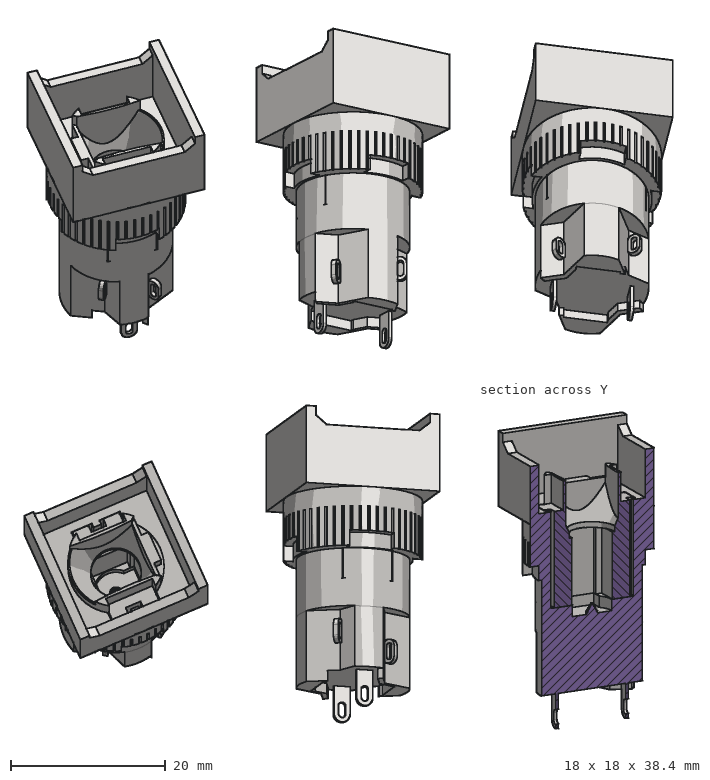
import cadquery as cq
import math

TOTAL_HEIGHT = 38.4
BLOCK_BOTTOM = 3.38
BLOCK_RECESS_TOP = 4.72
BLOCK_TOP = 12.75
BORE_BOTTOM = 16.45
RING_BOTTOM = 20.4
RING_NOTCH_TOP = 22.4
RING_GROOVE_TOP = 25.6
HEAD_BOTTOM = 28.2

HEAD_WIDTH = 18.0
HEAD_WALL = 1.3
HEAD_FLOOR = HEAD_BOTTOM + HEAD_WALL
SIDE_WALL_TOP = 36.05
SIDE_RAMP_TOP = 37.2
SIDE_RAMP_LENGTH = 1.42

RING_RADIUS = HEAD_WIDTH / 2
RING_GROOVE_COUNT = 50
RING_GROOVE_WIDTH = 0.3
RING_GROOVE_DEPTH = 0.2
RING_NOTCH_WIDTH = 5.95
RING_NOTCH_RADIUS = 7.75

BARREL_RADIUS = 14.7 / 2
BORE_RADIUS = 6.22
POCKET_LENGTH = 13.05
POCKET_WIDTH = 6.87
GUIDE_RIB_HEIGHT = 0.58
GUIDE_RIB_WIDTH = 1.08
SOCKET_RADIUS = 5.65 / 2
SOCKET_DEPTH = 1.55
CONTACT_RADIUS = 0.8
CONTACT_STEPS = 6
CONTACT_STEP_WIDTH = 0.125
CONTACT_STEP_HEIGHT = 0.23

KEYWAY_WIDTH = 4.07
KEYWAY_END = 3.45

NOTCH_CORNER = (4.25, 3.05)
NOTCH_Y_ARM_EDGE = (2.25, 7.03)
NOTCH_X_ARM_EDGE = (7.1, 1.92)
RECESS_CORNER = (3.8, 2.4)
RECESS_Y_ARM_EDGE = (2.88, 4.25)
RECESS_END = 4.8
RECESS_MOUTH = (6.5, 1.4)
WINDOW_END_Y = 4.5

BLADE_OFFSET = 5.05
BLADE_WIDTH = 2.2
BLADE_THICKNESS = 0.45
BLADE_ROOT_DEPTH = 0.4
BLADE_SLOT_WIDTH = 0.95
BLADE_SLOT_LENGTH = 2.0
BLADE_SLOT_CENTER = 1.6
LUG_RADIUS = 6.05
LUG_WIDTH = 1.8
LUG_HEIGHT = 3.2
LUG_THICKNESS = 0.65
LUG_SLOT_RADIUS = 6.15
LUG_SLOT_WIDTH = 0.8
LUG_SLOT_HEIGHT = 2.15
LOW_LUG_CENTER = 7.45
HIGH_LUG_CENTER = 9.75

INSERT_TOP = 33.4
RIM_HEIGHT = 31.7
ARM_CLEARANCE = 0.05
ARM_LENGTH = POCKET_LENGTH - 2 * ARM_CLEARANCE
ARM_WIDTH = 6.55
ARM_NOTCH_DEPTH = 1.0
ARM_NOTCH_WIDTH = 2.1
FIN_OUTER_X = 4.22
FIN_END_X = 4.05
FIN_MIDDLE_X = 3.75
BOWL_RADIUS = 6.0
THROAT_RADIUS = 3.25
BOWL_BOTTOM = 26.3
LEDGE_HEIGHT = 25.55
LAMP_OPENING = 5.8
BACK_WALL_Y = -4.0
BACK_WALL_OUTER_Y = -4.5
BACK_WALL_END_X = 4.38
BACK_TAB_END_Y = -5.5


def box(x_min, x_max, y_min, y_max, z_min, z_max):
    """Box between two opposite corners."""
    size = (x_max - x_min, y_max - y_min, z_max - z_min)
    return cq.Workplane("XY").box(*size, centered=False).translate((x_min, y_min, z_min))


def centered_box(length, width, z_min, z_max):
    """Box centered on the axis."""
    return box(-length / 2, length / 2, -width / 2, width / 2, z_min, z_max)


def cylinder(radius, z_min, z_max):
    """Cylinder on the axis."""
    return cq.Workplane("XY").workplane(offset=z_min).circle(radius).extrude(z_max - z_min)


def prism(points, z_min, z_max):
    """Upright prism on a polygon."""
    return cq.Workplane("XY").workplane(offset=z_min).polyline(points).close().extrude(z_max - z_min)


def obround_plate(width, height, thickness):
    """Plate in the XZ plane with rounded ends, centered on the origin."""
    return cq.Workplane("XZ").slot2D(height, width, 90).extrude(thickness / 2, both=True)


def keyway(z_min, z_max):
    """Straight channel from the axis toward -Y."""
    return box(-KEYWAY_WIDTH / 2, KEYWAY_WIDTH / 2, -KEYWAY_END, 0, z_min, z_max)




def head():
    """Square cup whose X walls are lowered between two ramps."""
    half = HEAD_WIDTH / 2
    inside = HEAD_WIDTH - 2 * HEAD_WALL
    ramp_outer = inside / 2
    ramp_inner = ramp_outer - SIDE_RAMP_LENGTH
    cup = centered_box(HEAD_WIDTH, HEAD_WIDTH, HEAD_BOTTOM, TOTAL_HEIGHT)
    cup = cup.cut(centered_box(inside, inside, HEAD_FLOOR, TOTAL_HEIGHT))
    wall_gap = (
        cq.Workplane("YZ")
        .polyline(
            [
                (-ramp_outer, TOTAL_HEIGHT),
                (-ramp_outer, SIDE_RAMP_TOP),
                (-ramp_inner, SIDE_WALL_TOP),
                (ramp_inner, SIDE_WALL_TOP),
                (ramp_outer, SIDE_RAMP_TOP),
                (ramp_outer, TOTAL_HEIGHT),
            ]
        )
        .close()
        .extrude(half, both=True)
    )
    return cup.cut(wall_gap)


def knurled_ring():
    """Ring with V-shaped grooves around it and a wide notch on each of its four sides."""
    ring = cylinder(RING_RADIUS, RING_BOTTOM, HEAD_BOTTOM)
    half_width = RING_GROOVE_WIDTH / 2
    profile = [
        (RING_RADIUS - RING_GROOVE_DEPTH, 0),
        (RING_RADIUS, -half_width),
        (RING_RADIUS + RING_GROOVE_DEPTH, -half_width),
        (RING_RADIUS + RING_GROOVE_DEPTH, half_width),
        (RING_RADIUS, half_width),
    ]
    groove = prism(profile, RING_BOTTOM, RING_GROOVE_TOP).val()
    pitch = 360 / RING_GROOVE_COUNT
    grooves = [groove.rotate((0, 0, 0), (0, 0, 1), (i + 0.5) * pitch) for i in range(RING_GROOVE_COUNT)]
    ring = ring.cut(cq.Workplane(obj=cq.Compound.makeCompound(grooves)))
    notches = centered_box(HEAD_WIDTH, RING_NOTCH_WIDTH, RING_BOTTOM, RING_NOTCH_TOP)
    notches = notches.union(centered_box(RING_NOTCH_WIDTH, HEAD_WIDTH, RING_BOTTOM, RING_NOTCH_TOP))
    return ring.cut(notches.cut(cylinder(RING_NOTCH_RADIUS, RING_BOTTOM, RING_NOTCH_TOP)))


def corner_notch(x_sign, y_sign):
    """V-shaped notch that separates two arms of the terminal block."""
    reach = 2 * BARREL_RADIUS
    quadrant = [
        NOTCH_CORNER,
        NOTCH_Y_ARM_EDGE,
        (NOTCH_Y_ARM_EDGE[0], reach),
        (reach, reach),
        (reach, NOTCH_X_ARM_EDGE[1]),
        NOTCH_X_ARM_EDGE,
    ]
    points = [(x_sign * x, y_sign * y) for x, y in quadrant]
    return prism(points, BLOCK_BOTTOM, BLOCK_TOP)


def block_recess():
    """Hollow in the underside of the block, open at the ends of the two X arms."""
    quadrant = [
        (BARREL_RADIUS, NOTCH_X_ARM_EDGE[1]),
        NOTCH_X_ARM_EDGE,
        RECESS_MOUTH,
        RECESS_CORNER,
        RECESS_Y_ARM_EDGE,
        (RECESS_Y_ARM_EDGE[0], RECESS_END),
    ]
    upper_left = [(-x, y) for x, y in reversed(quadrant)]
    lower_left = [(-x, -y) for x, y in quadrant]
    lower_right = [(x, -y) for x, y in reversed(quadrant)]
    points = quadrant + upper_left + lower_left + lower_right
    return prism(points, BLOCK_BOTTOM, BLOCK_RECESS_TOP)


def block_window(x_sign):
    """Opening through the recess wall, in the quadrants where X and Y have opposite signs."""
    corner_x = x_sign * RECESS_Y_ARM_EDGE[0]
    edge_x = x_sign * BARREL_RADIUS
    end_y = -x_sign * WINDOW_END_Y
    return box(
        min(corner_x, edge_x),
        max(corner_x, edge_x),
        min(end_y, 0),
        max(end_y, 0),
        BLOCK_BOTTOM,
        BLOCK_RECESS_TOP,
    )


def terminal_block():
    """Cross-shaped block at the lower end of the barrel."""
    block = cylinder(BARREL_RADIUS, BLOCK_BOTTOM, BLOCK_TOP)
    for x_sign in (-1, 1):
        for y_sign in (-1, 1):
            block = block.cut(corner_notch(x_sign, y_sign))
    block = block.cut(block_recess())
    for x_sign in (-1, 1):
        block = block.cut(block_window(x_sign))
    return block


def terminal_blade(x_sign):
    """Flat downward blade with a rounded end and a slot."""
    root_height = BLOCK_RECESS_TOP + BLADE_ROOT_DEPTH
    round_center = BLADE_WIDTH / 2
    blade = (
        cq.Workplane("YZ")
        .moveTo(-round_center, root_height)
        .lineTo(-round_center, round_center)
        .threePointArc((0, 0), (round_center, round_center))
        .lineTo(round_center, root_height)
        .close()
        .extrude(BLADE_THICKNESS / 2, both=True)
    )
    slot = (
        cq.Workplane("YZ")
        .center(0, BLADE_SLOT_CENTER)
        .slot2D(BLADE_SLOT_LENGTH, BLADE_SLOT_WIDTH, 90)
        .extrude(BLADE_THICKNESS, both=True)
    )
    return blade.cut(slot).translate((x_sign * BLADE_OFFSET, 0, 0))


def terminal_lug(x_sign, y_sign):
    """Upright slotted lug that points outward from the corner of a notch."""
    center_height = LOW_LUG_CENTER if x_sign == y_sign else HIGH_LUG_CENTER
    angle = math.degrees(math.atan2(y_sign * NOTCH_CORNER[1], x_sign * NOTCH_CORNER[0]))
    lug = obround_plate(LUG_WIDTH, LUG_HEIGHT, LUG_THICKNESS).translate((LUG_RADIUS, 0, center_height))
    slot = obround_plate(LUG_SLOT_WIDTH, LUG_SLOT_HEIGHT, 2 * LUG_THICKNESS)
    lug = lug.cut(slot.translate((LUG_SLOT_RADIUS, 0, center_height)))
    return lug.rotate((0, 0, 0), (0, 0, 1), angle)


def insert_bore():
    """Round bore crossed by a rectangular pocket that has a guide rib at each end."""
    half_length = POCKET_LENGTH / 2
    pocket = centered_box(POCKET_LENGTH, POCKET_WIDTH, BORE_BOTTOM, HEAD_FLOOR)
    rib = box(
        half_length - GUIDE_RIB_HEIGHT,
        half_length,
        -GUIDE_RIB_WIDTH / 2,
        GUIDE_RIB_WIDTH / 2,
        BORE_BOTTOM,
        HEAD_FLOOR,
    )
    bore = cylinder(BORE_RADIUS, BORE_BOTTOM, HEAD_FLOOR).union(pocket)
    return bore.cut(rib).cut(rib.mirror("YZ"))


def lamp_socket():
    """Round keyed recess in the bore floor, without its stepped center contact."""
    floor = BORE_BOTTOM - SOCKET_DEPTH
    socket = cylinder(SOCKET_RADIUS, floor, BORE_BOTTOM).union(keyway(floor, BORE_BOTTOM))
    for step in range(CONTACT_STEPS):
        step_radius = CONTACT_RADIUS - step * CONTACT_STEP_WIDTH
        step_top = floor + (step + 1) * CONTACT_STEP_HEIGHT
        socket = socket.cut(cylinder(step_radius, floor, step_top))
    return socket


def make_housing():
    body = cylinder(BARREL_RADIUS, BLOCK_TOP, HEAD_BOTTOM)
    body = body.union(knurled_ring()).union(head()).union(terminal_block())
    body = body.cut(insert_bore()).cut(lamp_socket())
    for x_sign in (-1, 1):
        body = body.union(terminal_blade(x_sign))
        for y_sign in (-1, 1):
            body = body.union(terminal_lug(x_sign, y_sign))
    return body




def insert_arms():
    """Flat arms that fill the pocket, and the notches that clear the guide ribs."""
    half_length = ARM_LENGTH / 2
    arms = centered_box(ARM_LENGTH, ARM_WIDTH, BORE_BOTTOM, HEAD_FLOOR)
    notch = box(
        half_length - ARM_NOTCH_DEPTH,
        half_length,
        -ARM_NOTCH_WIDTH / 2,
        ARM_NOTCH_WIDTH / 2,
        BORE_BOTTOM,
        HEAD_FLOOR,
    )
    return arms, notch.union(notch.mirror("YZ"))


def fin_channel():
    """Space between the fins, whose inner faces bulge slightly toward the axis."""
    fin_end_y = math.sqrt(BORE_RADIUS**2 - FIN_END_X**2)
    outer_y = HEAD_WIDTH / 2
    return (
        cq.Workplane("XY")
        .workplane(offset=BOWL_BOTTOM)
        .moveTo(-FIN_END_X, -outer_y)
        .lineTo(FIN_END_X, -outer_y)
        .lineTo(FIN_END_X, -fin_end_y)
        .threePointArc((FIN_MIDDLE_X, 0), (FIN_END_X, fin_end_y))
        .lineTo(FIN_END_X, outer_y)
        .lineTo(-FIN_END_X, outer_y)
        .lineTo(-FIN_END_X, fin_end_y)
        .threePointArc((-FIN_MIDDLE_X, 0), (-FIN_END_X, -fin_end_y))
        .close()
        .extrude(INSERT_TOP - BOWL_BOTTOM)
    )


def bowl():
    """Conical reflector surface, flattened by the fins and by the back wall."""
    cone = (
        cq.Workplane("XZ")
        .moveTo(0, BOWL_BOTTOM)
        .lineTo(THROAT_RADIUS, BOWL_BOTTOM)
        .lineTo(BOWL_RADIUS, RIM_HEIGHT)
        .lineTo(0, RIM_HEIGHT)
        .close()
        .revolve(360, (0, 0, 0), (0, 1, 0))
    )
    half = HEAD_WIDTH / 2
    ahead_of_back_wall = box(-half, half, BACK_WALL_Y, half, BOWL_BOTTOM, RIM_HEIGHT)
    return cone.intersect(fin_channel()).intersect(ahead_of_back_wall)


def lamp_opening():
    """Round throat under the bowl, then a square keyed opening down to the bore floor."""
    square = centered_box(LAMP_OPENING, LAMP_OPENING, BORE_BOTTOM, LEDGE_HEIGHT)
    throat = cylinder(THROAT_RADIUS, LEDGE_HEIGHT, BOWL_BOTTOM)
    return throat.union(square).union(keyway(BORE_BOTTOM, LEDGE_HEIGHT))


def back_clearance():
    """Space behind the back wall, around its tab, and above the wall."""
    outer_y = -BORE_RADIUS
    behind = box(-BACK_WALL_END_X, BACK_WALL_END_X, outer_y, BACK_WALL_OUTER_Y, HEAD_FLOOR, INSERT_TOP)
    tab = box(-KEYWAY_WIDTH / 2, KEYWAY_WIDTH / 2, BACK_TAB_END_Y, BACK_WALL_OUTER_Y, HEAD_FLOOR, RIM_HEIGHT)
    above = prism(
        [
            (-FIN_END_X, BACK_WALL_Y),
            (-BACK_WALL_END_X, BACK_WALL_OUTER_Y),
            (BACK_WALL_END_X, BACK_WALL_OUTER_Y),
            (FIN_END_X, BACK_WALL_Y),
        ],
        RIM_HEIGHT,
        INSERT_TOP,
    )
    return behind.cut(tab).union(above)


def make_insert():
    arms, rib_notches = insert_arms()
    body = cylinder(BORE_RADIUS, BORE_BOTTOM, INSERT_TOP).union(arms).cut(rib_notches)
    fin_relief = box(FIN_OUTER_X, ARM_LENGTH / 2, -ARM_WIDTH / 2, ARM_WIDTH / 2, HEAD_FLOOR, INSERT_TOP)
    body = body.cut(fin_relief).cut(fin_relief.mirror("YZ"))
    above_rim = centered_box(HEAD_WIDTH, HEAD_WIDTH, RIM_HEIGHT, INSERT_TOP)
    body = body.cut(fin_channel().intersect(above_rim))
    return body.cut(bowl()).cut(lamp_opening()).cut(back_clearance())


housing = make_housing()
lamp_insert = make_insert()

result = cq.Compound.makeCompound([*housing.solids().vals(), *lamp_insert.solids().vals()])